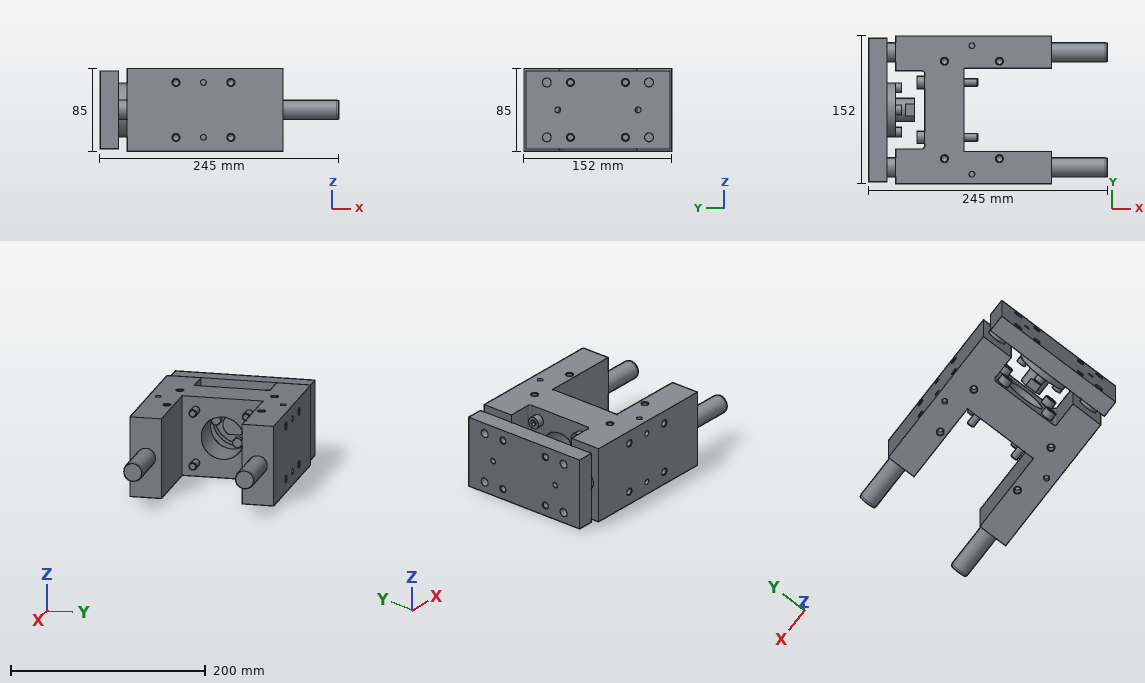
import cadquery as cq
import math

TOTAL_LENGTH = 245.0

PLATE_THICKNESS = 19.0
PLATE_WIDTH = 147.5
PLATE_HEIGHT = 80.0

HOUSING_FRONT = 28.0
HOUSING_LENGTH = 160.0
HOUSING_WIDTH = 152.0
HOUSING_HEIGHT = 85.0
WEB_FRONT = 57.5
WEB_THICKNESS = 40.5
NOTCH_HALF_WIDTH = 40.0
NOTCH_FILLET = 3.0
POCKET_HALF_WIDTH = 42.6
WEB_BORE_DIAMETER = 45.0

ROD_DIAMETER = 20.0
ROD_OFFSET = 59.0
ROD_TIP_LENGTH = 2.5
ROD_TIP_DIAMETER = 18.9

FLANGE_DIAMETER = 55.5
COUPLING_DIAMETER = 24.0
COUPLING_END = 47.3
COUPLING_FLAT_WIDTH = 12.5
COUPLING_FLAT_LENGTH = 9.3
FLANGE_SCREW_HEAD_DIAMETER = 10.0
FLANGE_SCREW_HEAD_HEIGHT = 6.1
FLANGE_SCREW_COUNT = 4

WEB_SCREW_HEAD_DIAMETER = 13.0
WEB_SCREW_HEAD_HEIGHT = 8.0
WEB_SCREW_SHANK_DIAMETER = 8.0
WEB_SCREW_PROTRUSION = 14.2
WEB_SCREW_TIP_CHAMFER = 0.7
WEB_SCREW_SOCKET_FLATS = 6.1
WEB_SCREW_SOCKET_DEPTH = 4.0

BOLT_OFFSET = 28.2
THREAD_DIAMETER = 8.0
THREAD_CORE_DIAMETER = 6.5
THREAD_DEPTH = 16.0
DRILL_POINT_ANGLE = 118.0
DOWEL_DIAMETER = 6.0
DOWEL_DEPTH = 9.8
HOUSING_HOLES_X = 106.0
TOP_THREAD_OFFSET = 50.0
TOP_DOWEL_OFFSET = 66.0

PLATE_CLEARANCE_DIAMETER = 9.0
PLATE_CLEARANCE_OFFSET = 52.5
PLATE_DOWEL_OFFSET = 41.2

HOUSING_END = HOUSING_FRONT + HOUSING_LENGTH
WEB_BACK = WEB_FRONT + WEB_THICKNESS
CORE_RADIUS = THREAD_CORE_DIAMETER / 2
MOUTH_RADIUS = THREAD_DIAMETER / 2
MOUTH_DEPTH = MOUTH_RADIUS - CORE_RADIUS
DRILL_POINT_DEPTH = CORE_RADIUS / math.tan(math.radians(DRILL_POINT_ANGLE / 2))
ROD_POINTS = [(-ROD_OFFSET, 0), (ROD_OFFSET, 0)]
ROD_TIP_RADIAL = (ROD_DIAMETER - ROD_TIP_DIAMETER) / 2


def mirrored(offset_a, offset_b):
    """The four points (+-a, +-b)."""
    return [(a, b) for a in (-offset_a, offset_a) for b in (-offset_b, offset_b)]


def x_cylinders(diameter, start, end, points=((0, 0),)):
    """Cylinders along X between two stations, centred on (y, z) points."""
    face = cq.Workplane("YZ", origin=(start, 0, 0)).pushPoints(points)
    return face.circle(diameter / 2).extrude(end - start)


def x_block(start, end, width, height):
    """Block between two X stations, centred on the X axis."""
    return cq.Workplane("YZ", origin=(start, 0, 0)).rect(width, height).extrude(end - start)


def thread_mouth_cutter(position, direction):
    """Countersink cone of a threaded hole, narrowing along direction."""
    cone = cq.Solid.makeCone(MOUTH_RADIUS, CORE_RADIUS, MOUTH_DEPTH, cq.Vector(position), cq.Vector(direction))
    return cq.Workplane(cone)


def threaded_hole_cutter(position, direction):
    """Countersunk blind hole with a drill point, going from position along direction."""
    start = cq.Vector(position)
    axis = cq.Vector(direction)
    core = cq.Solid.makeCylinder(CORE_RADIUS, THREAD_DEPTH, start, axis)
    drill_point = cq.Solid.makeCone(CORE_RADIUS, 0, DRILL_POINT_DEPTH, start + axis * THREAD_DEPTH, axis)
    return thread_mouth_cutter(position, direction).union(core).union(drill_point)


def dowel_hole_cutter(position, direction):
    """Plain blind dowel hole."""
    hole = cq.Solid.makeCylinder(DOWEL_DIAMETER / 2, DOWEL_DEPTH, cq.Vector(position), cq.Vector(direction))
    return cq.Workplane(hole)


def housing_block():
    block = x_block(HOUSING_FRONT, HOUSING_END, HOUSING_WIDTH, HOUSING_HEIGHT)
    notch = x_block(HOUSING_FRONT, WEB_FRONT, 2 * NOTCH_HALF_WIDTH, HOUSING_HEIGHT)
    notch = notch.edges("|Z and >X").fillet(NOTCH_FILLET)
    pocket = x_block(WEB_BACK, HOUSING_END, 2 * POCKET_HALF_WIDTH, HOUSING_HEIGHT)
    bore = x_cylinders(WEB_BORE_DIAMETER, WEB_FRONT, WEB_BACK)
    rod_holes = x_cylinders(ROD_DIAMETER, HOUSING_FRONT, HOUSING_END, ROD_POINTS)
    return block.cut(notch).cut(pocket).cut(bore).cut(rod_holes)


def cut_housing_holes(block):
    """Threaded and dowel holes, alike in the top and bottom and alike in both sides."""
    thread_stations = (HOUSING_HOLES_X - BOLT_OFFSET, HOUSING_HOLES_X + BOLT_OFFSET)
    for side in (-1, 1):
        for end in (-1, 1):
            face_z = end * HOUSING_HEIGHT / 2
            face_y = end * HOUSING_WIDTH / 2
            for x in thread_stations:
                block = block.cut(threaded_hole_cutter((x, side * TOP_THREAD_OFFSET, face_z), (0, 0, -end)))
                block = block.cut(threaded_hole_cutter((x, face_y, side * BOLT_OFFSET), (0, -end, 0)))
            x = HOUSING_HOLES_X
            block = block.cut(dowel_hole_cutter((x, side * TOP_DOWEL_OFFSET, face_z), (0, 0, -end)))
            block = block.cut(dowel_hole_cutter((x, face_y, side * BOLT_OFFSET), (0, -end, 0)))
    return block


def hex_socket_cutter(start):
    """Hexagonal prism on the X axis with two of its corners pointing up and down."""
    corner_diameter = WEB_SCREW_SOCKET_FLATS / math.cos(math.pi / 6)
    prism = cq.Workplane("YZ", origin=(start, 0, 0)).polygon(6, corner_diameter).extrude(WEB_SCREW_SOCKET_DEPTH)
    return prism.rotate((0, 0, 0), (1, 0, 0), 90)


def web_screws():
    """Socket-head screws standing in the web, heads towards the front plate."""
    points = mirrored(BOLT_OFFSET, BOLT_OFFSET)
    head_face = WEB_FRONT - WEB_SCREW_HEAD_HEIGHT
    heads = x_cylinders(WEB_SCREW_HEAD_DIAMETER, head_face, WEB_FRONT, points)
    shanks = x_cylinders(WEB_SCREW_SHANK_DIAMETER, WEB_FRONT, WEB_BACK + WEB_SCREW_PROTRUSION, points)
    shanks = shanks.faces(">X").chamfer(WEB_SCREW_TIP_CHAMFER)
    socket = hex_socket_cutter(head_face)
    for y, z in points:
        heads = heads.cut(socket.translate((0, y, z)))
    return heads.union(shanks)


def front_plate():
    plate = x_block(0, PLATE_THICKNESS, PLATE_WIDTH, PLATE_HEIGHT)
    threads = mirrored(BOLT_OFFSET, BOLT_OFFSET)
    hole_groups = [
        (PLATE_CLEARANCE_DIAMETER, mirrored(PLATE_CLEARANCE_OFFSET, BOLT_OFFSET)),
        (DOWEL_DIAMETER, [(-PLATE_DOWEL_OFFSET, 0), (PLATE_DOWEL_OFFSET, 0)]),
        (THREAD_CORE_DIAMETER, threads),
    ]
    for diameter, points in hole_groups:
        plate = plate.cut(x_cylinders(diameter, 0, PLATE_THICKNESS, points))
    for y, z in threads:
        plate = plate.cut(thread_mouth_cutter((0, y, z), (1, 0, 0)))
    return plate


def guide_rods():
    rods = x_cylinders(ROD_DIAMETER, PLATE_THICKNESS, TOTAL_LENGTH, ROD_POINTS)
    return rods.faces(">X").chamfer(ROD_TIP_LENGTH, ROD_TIP_RADIAL)


def coupling():
    """Round flange with its screw heads, and a coupling stub with wrench flats."""
    flange = x_cylinders(FLANGE_DIAMETER, PLATE_THICKNESS, HOUSING_FRONT)
    stub = x_cylinders(COUPLING_DIAMETER, HOUSING_FRONT, COUPLING_END)
    flat_distance = math.sqrt((COUPLING_DIAMETER / 2) ** 2 - (COUPLING_FLAT_WIDTH / 2) ** 2)
    flat_start = COUPLING_END - COUPLING_FLAT_LENGTH
    flat_zone = x_block(flat_start, COUPLING_END, COUPLING_DIAMETER, COUPLING_DIAMETER)
    kept_core = x_block(flat_start, COUPLING_END, COUPLING_DIAMETER, 2 * flat_distance)
    stub = stub.cut(flat_zone.cut(kept_core))
    screw_circle = (FLANGE_DIAMETER - FLANGE_SCREW_HEAD_DIAMETER) / 2
    angles = [2 * math.pi * i / FLANGE_SCREW_COUNT for i in range(FLANGE_SCREW_COUNT)]
    points = [(screw_circle * math.cos(a), screw_circle * math.sin(a)) for a in angles]
    heads_end = HOUSING_FRONT + FLANGE_SCREW_HEAD_HEIGHT
    heads = x_cylinders(FLANGE_SCREW_HEAD_DIAMETER, HOUSING_FRONT, heads_end, points)
    return flange.union(stub).union(heads)


housing = cut_housing_holes(housing_block()).union(web_screws())
carriage = front_plate().union(guide_rods()).union(coupling())

result = cq.Compound.makeCompound([housing.val(), carriage.val()])